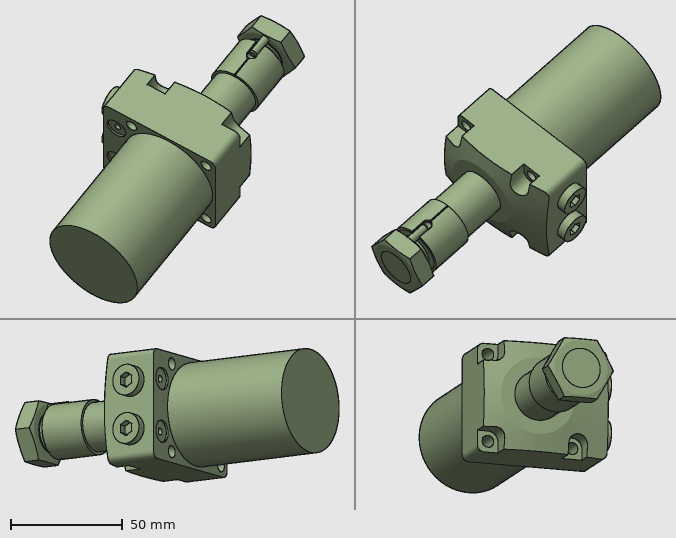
import cadquery as cq
import math


block_left = -35.0
block_right = 25.0
block_height = 50.0
block_depth = 31.0
corner_radius = 3.0
barrel_diameter = 47.0
barrel_length = 61.0

cone_flat_radius = 17.5
cone_angle = 15.0
cone_outer_radius = 50.0

hole_spacing = 40.0
hole_diameter = 5.5
pocket_width = 9.5
pocket_floor = 20.0

port_x = -28.0
port_spacing = 24.0
seal_recess_diameter = 10.0
seal_recess_depth = 1.0
port_diameter = 3.0
port_depth = 12.0

plug_y = 12.0
plug_spacing = 22.0
plug_diameter = 14.0
plug_height = 4.2
socket_flats = 6.0
socket_depth = 4.0

sleeve_start = 53.5
sleeve_end = 74.5
thread_start = 76.5
nut_start = 78.5
nut_end = 87.5

rod_diameter = 22.4
thread_diameter = 18.0
thread_pitch = 1.5
thread_depth = 0.92
undercut_diameter = 16.0

sleeve_diameter = 25.0
slit_width = 0.5
notch_width = 4.5
notch_centre_y = 67.0

pin_diameter = 4.0
pin_start = 68.0
pin_chamfer = 0.7
pin_z = rod_diameter / 2

nut_flats = 27.0
nut_chamfer_radius = 12.6
nut_chamfer_angle = 15.0


def rod_axis_cylinder(diameter, y_start, y_end, z=0.0):
    """Cylinder along +Y between two Y positions."""
    return (
        cq.Workplane("XZ", origin=(0, y_start, z))
        .circle(diameter / 2)
        .extrude(-(y_end - y_start))
    )


def revolve_about_rod_axis(points):
    """Turn a closed profile of (radius, y) points about the Y axis."""
    return cq.Workplane("XY").polyline(points).close().revolve(360, (0, 0, 0), (0, 1, 0))


def hexagon_corners(flats):
    """Diameter across the corners of a hexagon."""
    return flats / math.cos(math.pi / 6)


def cone_cutter():
    """Ring outside the shallow cone on the rod side of the block."""
    drop = (cone_outer_radius - cone_flat_radius) * math.tan(math.radians(cone_angle))
    return revolve_about_rod_axis([
        (cone_flat_radius, block_depth),
        (cone_outer_radius, block_depth - drop),
        (cone_outer_radius, block_depth),
    ])


def pocket_cutter(side_x, side_z):
    """Screw head pocket open through the near Z side; at +X it opens out to the corner as well."""
    radius = pocket_width / 2
    height = block_depth - pocket_floor
    opening = cq.Workplane("XY").box(pocket_width, height, pocket_width)
    opening = opening.translate((0, pocket_floor + height / 2, 0))
    cutter = rod_axis_cylinder(pocket_width, pocket_floor, block_depth)
    cutter = cutter.union(opening.translate((0, 0, side_z * radius)))
    if side_x > 0:
        cutter = cutter.union(opening.translate((radius, 0, 0)))
        cutter = cutter.union(opening.translate((radius, 0, side_z * radius)))
    return cutter


def make_housing():
    """Block with the cone, barrel, mounting holes, pockets and oil ports."""
    block = (
        cq.Workplane("XY")
        .box(block_right - block_left, block_depth, block_height)
        .edges("|Y")
        .fillet(corner_radius)
        .translate(((block_left + block_right) / 2, block_depth / 2, 0))
        .cut(cone_cutter())
    )
    housing = block.union(rod_axis_cylinder(barrel_diameter, -barrel_length, block_depth / 2))
    for side_x in (-1, 1):
        for side_z in (-1, 1):
            hole_place = (side_x * hole_spacing / 2, 0, side_z * hole_spacing / 2)
            hole = rod_axis_cylinder(hole_diameter, 0, block_depth)
            housing = housing.cut(hole.translate(hole_place))
            housing = housing.cut(pocket_cutter(side_x, side_z).translate(hole_place))
    for side_z in (-1, 1):
        port = rod_axis_cylinder(seal_recess_diameter, 0, seal_recess_depth)
        port = port.union(rod_axis_cylinder(port_diameter, 0, port_depth))
        housing = housing.cut(port.translate((port_x, 0, side_z * port_spacing / 2)))
    return housing


def pin_groove():
    """Half-round groove in the rod with a ball end."""
    ball = cq.Workplane("XY").sphere(pin_diameter / 2).translate((0, notch_centre_y, pin_z))
    return rod_axis_cylinder(pin_diameter, notch_centre_y, nut_start, pin_z).union(ball)


def make_rod():
    """Piston rod with an undercut and a threaded end; thread ridges are plain rings."""
    rod_radius = rod_diameter / 2
    thread_radius = thread_diameter / 2
    undercut_radius = undercut_diameter / 2
    root_radius = thread_radius - thread_depth
    points = [
        (0, block_depth),
        (rod_radius, block_depth),
        (rod_radius, sleeve_end),
        (undercut_radius, sleeve_end),
        (undercut_radius, thread_start - thread_pitch / 2),
    ]
    ridge_y = thread_start
    while ridge_y + thread_pitch / 2 < nut_start:
        points.append((thread_radius, ridge_y))
        points.append((root_radius, ridge_y + thread_pitch / 2))
        ridge_y += thread_pitch
    points += [
        (thread_radius, ridge_y),
        (thread_radius, nut_end),
        (0, nut_end),
    ]
    return revolve_about_rod_axis(points).cut(pin_groove())


def make_sleeve():
    """Clamping sleeve with a round-ended notch for the pin and a slit below it."""
    sleeve = rod_axis_cylinder(sleeve_diameter, sleeve_start, sleeve_end)
    sleeve = sleeve.cut(rod_axis_cylinder(rod_diameter, sleeve_start, sleeve_end))
    notch_length = sleeve_end - notch_centre_y
    notch = cq.Workplane("XY").circle(notch_width / 2).extrude(sleeve_diameter)
    notch = notch.union(
        cq.Workplane("XY")
        .rect(notch_width, notch_length)
        .extrude(sleeve_diameter)
        .translate((0, notch_length / 2, 0))
    )
    slit_length = notch_centre_y - sleeve_start
    slit = (
        cq.Workplane("XY")
        .rect(slit_width, slit_length)
        .extrude(sleeve_diameter)
        .translate((0, sleeve_start + slit_length / 2, 0))
    )
    return sleeve.cut(notch.translate((0, notch_centre_y, 0))).cut(slit)


def make_pin():
    """Locating pin with a chamfered end, standing against the nut."""
    return rod_axis_cylinder(pin_diameter, pin_start, nut_start, pin_z).faces("<Y").chamfer(pin_chamfer)


def make_nut():
    """Hexagon nut with corners along X, chamfered at both ends."""
    corners = hexagon_corners(nut_flats)
    hexagon = (
        cq.Workplane("XZ", origin=(0, nut_start, 0))
        .polygon(6, corners)
        .extrude(-(nut_end - nut_start))
    )
    drop = (corners / 2 - nut_chamfer_radius) * math.tan(math.radians(nut_chamfer_angle))
    chamfered_blank = revolve_about_rod_axis([
        (0, nut_start),
        (nut_chamfer_radius, nut_start),
        (corners / 2, nut_start + drop),
        (corners / 2, nut_end - drop),
        (nut_chamfer_radius, nut_end),
        (0, nut_end),
    ])
    return hexagon.intersect(chamfered_blank).cut(rod_axis_cylinder(thread_diameter, nut_start, nut_end))


def make_plug(z):
    """Round screw plug with a hexagon socket facing -X."""
    outer_x = block_left - plug_height
    disc = (
        cq.Workplane("YZ", origin=(outer_x, plug_y, z))
        .circle(plug_diameter / 2)
        .extrude(plug_height)
    )
    socket = (
        cq.Workplane("YZ", origin=(outer_x, plug_y, z))
        .transformed(rotate=(0, 0, 90))
        .polygon(6, hexagon_corners(socket_flats))
        .extrude(socket_depth)
    )
    return disc.cut(socket)


housing = make_housing()
rod = make_rod()
sleeve = make_sleeve()
pin = make_pin()
nut = make_nut()
plugs = [make_plug(side_z * plug_spacing / 2) for side_z in (-1, 1)]

result = cq.Compound.makeCompound([
    housing.val(),
    rod.val(),
    sleeve.val(),
    pin.val(),
    nut.val(),
    *[plug.val() for plug in plugs],
])